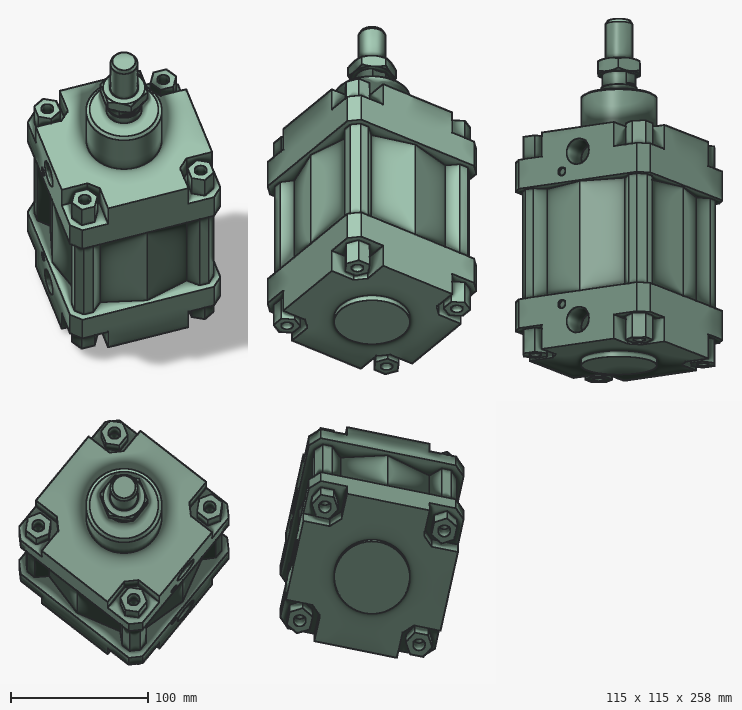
import cadquery as cq
import math

HEAD_WIDTH = 115.0
HEAD_CHAMFER = 7.2
HEAD_HEIGHT = 39.7
BARREL_LENGTH = 82.8
LOWER_BOSS_HEIGHT = 4.5

lower_head_top = LOWER_BOSS_HEIGHT + HEAD_HEIGHT
upper_head_base = lower_head_top + BARREL_LENGTH
upper_head_top = upper_head_base + HEAD_HEIGHT
mid_height = (lower_head_top + upper_head_base) / 2

NOTCH_SIZE = 26.8
NOTCH_HEIGHT = 18.0
notch_floor = upper_head_top - NOTCH_HEIGHT

TIE_NUT_FLATS = 17.0
TIE_NUT_OFFSET = 44.5
TIE_NUT_HOLE = 8.8
TIE_NUT_HOLE_DEPTH = NOTCH_HEIGHT
DRILL_POINT_ANGLE = 118.0

PORT_DIAMETER = 19.0
PORT_DEPTH = 20.6
SCREW_HOLE_DIAMETER = 6.2
SCREW_HOLE_DEPTH = 2.0
SCREW_HOLE_X = -13.7
SCREW_HOLE_RISE = 8.3

BOSS_DIAMETER = 55.2
BOSS_HEIGHT = 35.0
BOSS_CHAMFER_RISE = 1.5
BOSS_CHAMFER_INSET = 2.5
boss_top = upper_head_top + BOSS_HEIGHT

RIDGE_REACH = 54.7
CORNER_REACH = 53.1
VALLEY_REACH = 46.0
CORNER_CHAMFER_START = 47.7
CORNER_RIB_EDGE = 40.8
VALLEY_EDGE = 33.0

TOTAL_HEIGHT = 258.0
COLLAR_DIAMETER = 25.8
COLLAR_HEIGHT = 6.2
NECK_DIAMETER = 24.5
NECK_HEIGHT = 9.8
FLAT_WIDTH = 22.0
FLAT_HEIGHT = 8.3
FLAT_TURN = -7.0
STUD_DIAMETER = 19.9
STUD_CHAMFER_RISE = 2.5
STUD_CHAMFER_INSET = 1.5
neck_base = boss_top + COLLAR_HEIGHT
neck_top = neck_base + NECK_HEIGHT

LOCK_NUT_FLATS = 30.5
LOCK_NUT_HEIGHT = 9.5
LOCK_NUT_CROWN_DIAMETER = 30.5
LOCK_NUT_CROWN_ANGLE = 30.0
LOCK_NUT_COUNTERSINK = 0.5


def across_corners(flats):
    """Corner-to-corner size of a hexagon from its flat-to-flat size."""
    return flats / math.cos(math.radians(30))


def make_head():
    """Upper head: chamfered square block with notches, nuts and side holes."""
    head = (
        cq.Workplane("XY", origin=(0, 0, upper_head_base))
        .rect(HEAD_WIDTH, HEAD_WIDTH)
        .extrude(HEAD_HEIGHT)
        .edges("|Z")
        .chamfer(HEAD_CHAMFER)
    )
    notches = (
        cq.Workplane("XY", origin=(0, 0, notch_floor))
        .rect(HEAD_WIDTH, HEAD_WIDTH, forConstruction=True)
        .vertices()
        .rect(2 * NOTCH_SIZE, 2 * NOTCH_SIZE)
        .extrude(NOTCH_HEIGHT)
        .edges("|Z")
        .chamfer(HEAD_CHAMFER)
    )
    head = head.cut(notches)
    for side_x in (-1, 1):
        for side_y in (-1, 1):
            turn = 0 if side_x == side_y else 90
            place = (side_x * TIE_NUT_OFFSET, side_y * TIE_NUT_OFFSET, 0)
            head = head.union(make_tie_nut(turn).translate(place))
            head = head.cut(make_tie_nut_hole().translate(place))
    screw_hole_height = upper_head_base + SCREW_HOLE_RISE
    head = head.cut(make_side_hole(0, notch_floor, PORT_DIAMETER, PORT_DEPTH))
    return head.cut(make_side_hole(SCREW_HOLE_X, screw_hole_height, SCREW_HOLE_DIAMETER, SCREW_HOLE_DEPTH))


def make_tie_nut(turn):
    """Hexagonal tie-rod nut on the Z axis, turned about it by the given degrees."""
    return (
        cq.Workplane("XY", origin=(0, 0, notch_floor))
        .polygon(6, across_corners(TIE_NUT_FLATS))
        .extrude(NOTCH_HEIGHT)
        .rotate((0, 0, 0), (0, 0, 1), turn)
    )


def make_tie_nut_hole():
    """Drilled blind hole with a conical end, on the Z axis."""
    radius = TIE_NUT_HOLE / 2
    hole_end = upper_head_top - TIE_NUT_HOLE_DEPTH
    point_height = radius / math.tan(math.radians(DRILL_POINT_ANGLE / 2))
    return (
        cq.Workplane("XZ")
        .moveTo(0, upper_head_top)
        .lineTo(radius, upper_head_top)
        .lineTo(radius, hole_end)
        .lineTo(0, hole_end - point_height)
        .close()
        .revolve()
    )


def make_side_hole(x, z, diameter, depth):
    """Cutter for a flat-bottomed hole going in from the -Y face of a head."""
    return cq.Workplane("XZ", origin=(x, -HEAD_WIDTH / 2, z)).circle(diameter / 2).extrude(-depth)


def make_barrel():
    """Barrel whose section repeats the same outline on its four sides."""
    side = [
        (-CORNER_REACH, CORNER_CHAMFER_START),
        (-CORNER_REACH, CORNER_RIB_EDGE),
        (-VALLEY_REACH, VALLEY_EDGE),
        (-RIDGE_REACH, 0),
        (-VALLEY_REACH, -VALLEY_EDGE),
        (-CORNER_REACH, -CORNER_RIB_EDGE),
        (-CORNER_REACH, -CORNER_CHAMFER_START),
    ]
    outline = []
    for _ in range(4):
        outline += side
        side = [(-y, x) for x, y in side]
    return (
        cq.Workplane("XY", origin=(0, 0, lower_head_top))
        .polyline(outline)
        .close()
        .extrude(BARREL_LENGTH)
    )


def make_bosses():
    """Tall chamfered boss on the upper head and a low plain one on the lower head."""
    radius = BOSS_DIAMETER / 2
    upper = (
        cq.Workplane("XY", origin=(0, 0, upper_head_top))
        .circle(radius)
        .extrude(BOSS_HEIGHT)
        .faces(">Z")
        .chamfer(BOSS_CHAMFER_RISE, BOSS_CHAMFER_INSET)
    )
    lower = cq.Workplane("XY").circle(radius).extrude(LOWER_BOSS_HEIGHT)
    return upper, lower


def make_housing():
    """Heads, barrel and bosses as one solid."""
    upper_head = make_head()
    lower_head = upper_head.mirror("XY", (0, 0, mid_height))
    upper_boss, lower_boss = make_bosses()
    return make_barrel().union(upper_head).union(lower_head).union(upper_boss).union(lower_boss)


def make_rod():
    """Rod standing on the boss: collar, neck with two wrench flats, and stud."""
    collar = cq.Workplane("XY", origin=(0, 0, boss_top)).circle(COLLAR_DIAMETER / 2).extrude(COLLAR_HEIGHT)
    neck = cq.Workplane("XY", origin=(0, 0, neck_base)).circle(NECK_DIAMETER / 2).extrude(NECK_HEIGHT)
    flats = (
        cq.Workplane("XY", origin=(0, 0, neck_top - FLAT_HEIGHT))
        .rect(FLAT_WIDTH, NECK_DIAMETER)
        .extrude(FLAT_HEIGHT)
        .rotate((0, 0, 0), (0, 0, 1), FLAT_TURN)
    )
    neck_foot = cq.Workplane("XY", origin=(0, 0, neck_base)).circle(NECK_DIAMETER / 2)
    neck = neck.intersect(flats).union(neck_foot.extrude(NECK_HEIGHT - FLAT_HEIGHT))
    stud = (
        cq.Workplane("XY", origin=(0, 0, neck_top))
        .circle(STUD_DIAMETER / 2)
        .extrude(TOTAL_HEIGHT - neck_top)
        .faces(">Z")
        .chamfer(STUD_CHAMFER_RISE, STUD_CHAMFER_INSET)
    )
    return collar.union(neck).union(stud)


def make_lock_nut():
    """Hexagonal nut seated on the neck, with crowned corners and a countersunk bore at both ends."""
    corner_radius = across_corners(LOCK_NUT_FLATS) / 2
    crown_radius = LOCK_NUT_CROWN_DIAMETER / 2
    crown_drop = (corner_radius - crown_radius) * math.tan(math.radians(LOCK_NUT_CROWN_ANGLE))
    hexagon = (
        cq.Workplane("XY", origin=(0, 0, neck_top))
        .polygon(6, 2 * corner_radius)
        .extrude(LOCK_NUT_HEIGHT)
    )
    crown = (
        cq.Workplane("XY", origin=(0, 0, neck_top))
        .circle(corner_radius)
        .extrude(LOCK_NUT_HEIGHT)
        .faces("<Z or >Z")
        .chamfer(crown_drop, corner_radius - crown_radius)
    )
    bore = cq.Workplane("XY", origin=(0, 0, neck_top)).circle(STUD_DIAMETER / 2).extrude(LOCK_NUT_HEIGHT)
    nut = hexagon.intersect(crown).cut(bore)
    bore_rims = nut.edges(cq.selectors.RadiusNthSelector(0)).edges("<Z or >Z")
    return bore_rims.chamfer(LOCK_NUT_COUNTERSINK)


housing = make_housing()
rod = make_rod()
lock_nut = make_lock_nut()

result = cq.Compound.makeCompound([housing.val(), rod.val(), lock_nut.val()])